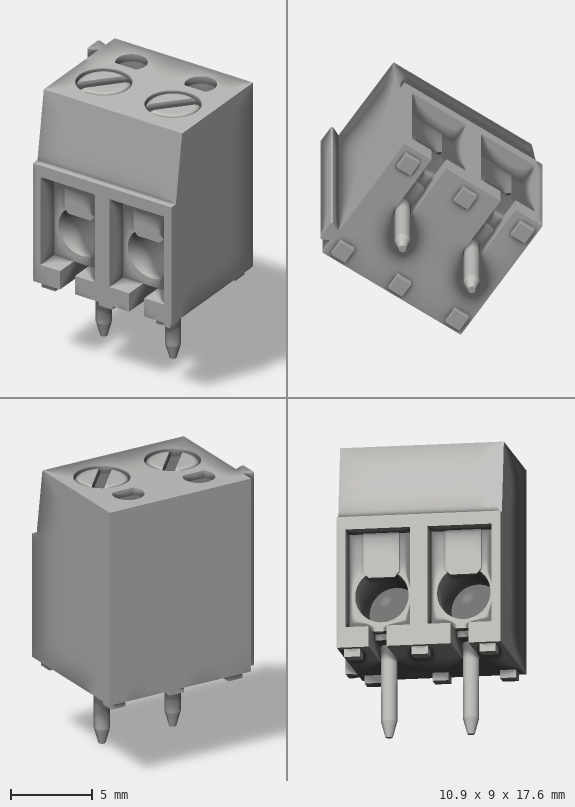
import cadquery as cq


POLE_COUNT = 2
PITCH = 5.08
POLE_XS = [(i - (POLE_COUNT - 1) / 2) * PITCH for i in range(POLE_COUNT)]

HOUSING_LENGTH = POLE_COUNT * PITCH
HOUSING_HEIGHT = 12.8
FRONT_Y = -4.0
BACK_Y = 5.0
LEFT_X = -HOUSING_LENGTH / 2
SHELF_HEIGHT = 8.2
SHELF_DEPTH = 0.5
SLOPE_SETBACK = 1.2

FOOT_SIZE = 1.0
FOOT_HEIGHT = 0.5
FOOT_SPACING = 4.2
FOOT_INSET = 0.9
FOOT_XS = (-FOOT_SPACING, 0, FOOT_SPACING)
FOOT_YS = (FRONT_Y + FOOT_INSET, BACK_Y - FOOT_INSET)

RAIL_DEPTH = 0.7
RAIL_Y = 3.62
RAIL_TIP_WIDTH = 1.42
RAIL_NECK_WIDTH = 0.76
RAIL_TIP_FILLET = 0.1

POCKET_WIDTH = 4.0
POCKET_BOTTOM = 1.28
POCKET_TOP = 7.4
POCKET_DEPTH = 1.5
CLAMP_FRONT_Y = FRONT_Y + POCKET_DEPTH
CLAMP_BACK_Y = -CLAMP_FRONT_Y
WIRE_HOLE_DIAMETER = 3.31
WIRE_HOLE_Z = 3.5

TAB_WIDTH = 2.2
TAB_BOTTOM = 4.62
TAB_THICKNESS = 0.2
TAB_CHAMFER = 0.3

SCREW_DIAMETER = 3.5
SCREW_TOP = HOUSING_HEIGHT
SCREW_FILLET = 0.5
DRIVE_SLOT_WIDTH = 0.8
DRIVE_SLOT_DEPTH = SCREW_FILLET
DRIVE_SLOT_ANGLE = 49

PROBE_DIAMETER = 2.0
PROBE_DEPTH = 0.5
PROBE_Y = 3.05
PROBE_FLAT_Y = 2.4

COLLAR_DIAMETER = SCREW_DIAMETER
COLLAR_BOTTOM = 0.9
PIN_DIAMETER = 1.0
PIN_BOTTOM = -4.81
PIN_TIP_LENGTH = 1.0
PIN_TIP_DIAMETER = 0.45
PIN_SLOT_WIDTH = 1.1


def box(x_range, y_range, z_range):
    """Axis-aligned box between the given limits."""
    size = [high - low for low, high in (x_range, y_range, z_range)]
    corner = (x_range[0], y_range[0], z_range[0])
    return cq.Workplane("XY").box(*size, centered=False).translate(corner)


def cylinder(x, y, diameter, bottom, top):
    """Upright cylinder."""
    return cq.Workplane("XY", origin=(x, y, bottom)).circle(diameter / 2).extrude(top - bottom)


def housing_shell():
    """Side profile with the front shelf and sloped upper front, extruded along X."""
    profile = [
        (FRONT_Y, 0),
        (BACK_Y, 0),
        (BACK_Y, HOUSING_HEIGHT),
        (FRONT_Y + SLOPE_SETBACK, HOUSING_HEIGHT),
        (FRONT_Y + SHELF_DEPTH, SHELF_HEIGHT),
        (FRONT_Y, SHELF_HEIGHT),
    ]
    return cq.Workplane("YZ", origin=(LEFT_X, 0, 0)).polyline(profile).close().extrude(HOUSING_LENGTH)


def dovetail_rail():
    """Full-height rail that widens toward its rounded tip."""
    tip_x = LEFT_X - RAIL_DEPTH
    profile = [
        (LEFT_X, RAIL_Y - RAIL_NECK_WIDTH / 2),
        (LEFT_X, RAIL_Y + RAIL_NECK_WIDTH / 2),
        (tip_x, RAIL_Y + RAIL_TIP_WIDTH / 2),
        (tip_x, RAIL_Y - RAIL_TIP_WIDTH / 2),
    ]
    rail = cq.Workplane("XY").polyline(profile).close().extrude(HOUSING_HEIGHT)
    return rail.faces("<X").edges("|Z").fillet(RAIL_TIP_FILLET)


def feet():
    """Square standoff feet in two rows."""
    points = [(x, y) for x in FOOT_XS for y in FOOT_YS]
    return cq.Workplane("XY").pushPoints(points).rect(FOOT_SIZE, FOOT_SIZE).extrude(-FOOT_HEIGHT)


def pole_cavity(x):
    """Wire pocket, clamp chamber, screw bore, collar seat and pin slot of one pole."""
    x_range = (x - POCKET_WIDTH / 2, x + POCKET_WIDTH / 2)
    chamber = box(x_range, (FRONT_Y, CLAMP_BACK_Y), (POCKET_BOTTOM, POCKET_TOP))
    screw_bore = cylinder(x, 0, SCREW_DIAMETER, POCKET_TOP, HOUSING_HEIGHT)
    collar_seat = cylinder(x, 0, COLLAR_DIAMETER, COLLAR_BOTTOM, POCKET_BOTTOM)
    slot_range = (x - PIN_SLOT_WIDTH / 2, x + PIN_SLOT_WIDTH / 2)
    pin_slot = box(slot_range, (FRONT_Y, 0), (0, POCKET_BOTTOM))
    pin_slot_end = cylinder(x, 0, PIN_SLOT_WIDTH, 0, POCKET_BOTTOM)
    return chamber.union(screw_bore).union(collar_seat).union(pin_slot).union(pin_slot_end)


def probe_hole(x):
    """Shallow round hole with a flat on the screw side."""
    floor = HOUSING_HEIGHT - PROBE_DEPTH
    hole = cylinder(x, PROBE_Y, PROBE_DIAMETER, floor, HOUSING_HEIGHT)
    x_range = (x - PROBE_DIAMETER, x + PROBE_DIAMETER)
    return hole.intersect(box(x_range, (PROBE_FLAT_Y, BACK_Y), (floor, HOUSING_HEIGHT)))


def make_housing():
    """Insulating body with one cavity and one probe hole per pole."""
    body = housing_shell().union(dovetail_rail()).union(feet())
    for x in POLE_XS:
        body = body.cut(pole_cavity(x)).cut(probe_hole(x))
    return body


def clamp_block(x):
    """Block that fills the chamber, drilled through for the wire, with its guard tab."""
    x_range = (x - POCKET_WIDTH / 2, x + POCKET_WIDTH / 2)
    block = box(x_range, (CLAMP_FRONT_Y, CLAMP_BACK_Y), (POCKET_BOTTOM, POCKET_TOP))
    front = cq.Workplane("XZ", origin=(x, CLAMP_FRONT_Y, WIRE_HOLE_Z))
    wire_hole = front.circle(WIRE_HOLE_DIAMETER / 2).extrude(CLAMP_FRONT_Y - CLAMP_BACK_Y)
    tab = box(
        (x - TAB_WIDTH / 2, x + TAB_WIDTH / 2),
        (CLAMP_FRONT_Y - TAB_THICKNESS, CLAMP_FRONT_Y),
        (TAB_BOTTOM, POCKET_TOP),
    )
    tab = tab.faces("<Z").edges("|Y").chamfer(TAB_CHAMFER)
    return block.cut(wire_hole).union(tab)


def screw_head(x):
    """Round-edged screw with a straight drive slot set at an angle."""
    head = cylinder(x, 0, SCREW_DIAMETER, POCKET_TOP, SCREW_TOP).faces(">Z").edges().fillet(SCREW_FILLET)
    slot = (
        cq.Workplane("XY", origin=(x, 0, SCREW_TOP))
        .transformed(rotate=(0, 0, DRIVE_SLOT_ANGLE))
        .rect(2 * SCREW_DIAMETER, DRIVE_SLOT_WIDTH)
        .extrude(-DRIVE_SLOT_DEPTH)
    )
    return head.cut(slot)


def solder_pin(x):
    """Round pin with a tapered tip, hanging from a wide collar."""
    profile = [
        (0, POCKET_BOTTOM),
        (COLLAR_DIAMETER / 2, POCKET_BOTTOM),
        (COLLAR_DIAMETER / 2, COLLAR_BOTTOM),
        (PIN_DIAMETER / 2, COLLAR_BOTTOM),
        (PIN_DIAMETER / 2, PIN_BOTTOM + PIN_TIP_LENGTH),
        (PIN_TIP_DIAMETER / 2, PIN_BOTTOM),
        (0, PIN_BOTTOM),
    ]
    pin = cq.Workplane("XZ").polyline(profile).close().revolve(360, (0, 0, 0), (0, 1, 0))
    return pin.translate((x, 0, 0))


def make_terminal(x):
    """Metal terminal of one pole: clamp block, screw and solder pin."""
    return clamp_block(x).union(screw_head(x)).union(solder_pin(x))


housing = make_housing()
terminals = [make_terminal(x) for x in POLE_XS]

result = cq.Compound.makeCompound([housing.val(), *[terminal.val() for terminal in terminals]])